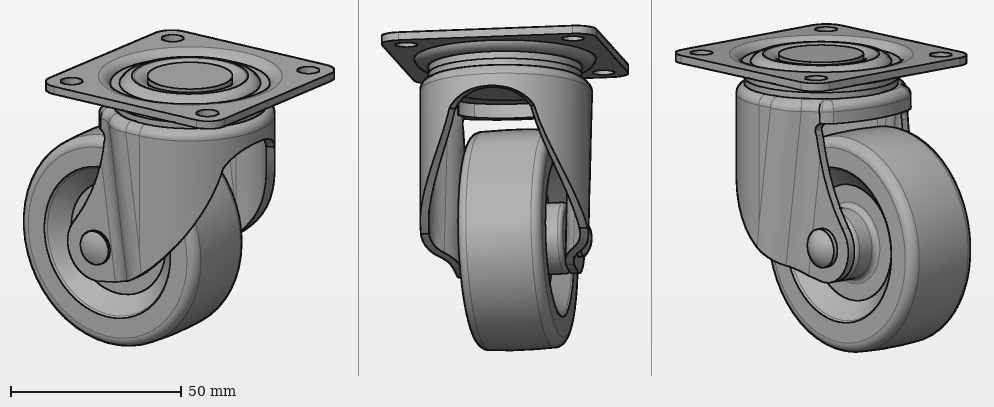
import cadquery as cq
import math

LENGTH = 85.5
HEIGHT = 85.0

PLATE_SIDE = 64.0
PLATE_THICKNESS = 2.4
CORNER_RADIUS = 6.0
BOLT_SPACING = 49.8
BOLT_HOLE_RADIUS = 3.25
DISH_DEPTH = 2.2
DISH_RIM_RADIUS = 27.0
DISH_FLOOR_RADIUS = 23.4
DISH_UNDERSIDE = -4.9
BOWL_RIM_RADIUS = 26.8
BOWL_MIDDLE = (25.6, -4.2)
BOWL_BASE_RADIUS = 23.25
LAND_BASE_RADIUS = 20.8
COLLAR_RADIUS = 22.6
COLLAR_SPLIT = -7.0

PIN_RADIUS = 17.1
PIN_LIP_RADIUS = 16.5
PIN_DISC_RADIUS = 12.5
PIN_GROOVE_DEPTH = 1.9

WHEEL_RADIUS = 32.5
TREAD_EDGE_RADIUS = 32.15
FACE_OUTER_RADIUS = 29.1
TREAD_HALF_WIDTH = 9.75
WHEEL_HALF_WIDTH = 12.5
SHOULDER_MIDDLE = (31.4, 11.5)
RECESS_RADIUS = 23.1
RECESS_CHAMFER = 0.6
RECESS_FLOOR_RADIUS = 17.3
RECESS_DEPTH = 5.4
HUB_RADIUS = 10.5
HUB_HALF_WIDTH = 15.05
HUB_BASE_FILLET = 1.6
HUB_EDGE_FILLET = 1.4
AXLE_X = PLATE_SIDE / 2 - LENGTH + WHEEL_RADIUS
AXLE_Z = WHEEL_RADIUS - HEIGHT

AXLE_RADIUS = 4.0
HEAD_RADIUS = 5.7
HEAD_RIM = 1.45
HEAD_DOME = 2.5
RIVET_RADIUS = 5.1
RIVET_RIM = 0.85
RIVET_DOME = 1.1

SHEET = 2.5
FORK_TOP = -8.9
FORK_RADIUS = 25.0
FORK_TOP_FILLET = 3.0
ARM_HALF_WIDTH = 18.0
BEND_START_X = -21.5
BEND_LEAN = 0.14
BEND_INNER_RADIUS = 9.4
BEND_OUTER_RADIUS = 12.5
LIP_BOTTOM = -15.6
REAR_WALL_START_X = 1.3

NOSE_END = (-21.9, 15.3)
LIP_CORNER_MIDDLE = (-20.2, 17.35)
LIP_CORNER_END = (-17.6, 19.15)

BACK_NOTCH_MIDDLE = (23.0, -18.2)
BACK_NOTCH_END = (21.55, -21.1)
BACK_CURVE_MIDDLE = (10.4, -45.8)
BACK_CURVE_END = (-13.85, -61.9)
ARM_END_RADIUS = 10.4
ARM_END_ANGLES = (285, 210, 138)
FRONT_CURVE_MIDDLE = (-20.1, -28.9)
FRONT_NOTCH_START = (-17.9, -19.15)
FRONT_NOTCH_MIDDLE = (-18.0, -16.5)
FRONT_NOTCH_END_X = -19.5


def tangent_arc_middle(start, end):
    """Middle of the arc that leaves start horizontally and bends down to end; points are (radius, z)."""
    run = abs(end[0] - start[0])
    drop = start[1] - end[1]
    bend_radius = (run ** 2 + drop ** 2) / (2 * drop)
    half_angle = math.asin(run / bend_radius) / 2
    side = math.copysign(1, end[0] - start[0])
    return (start[0] + side * bend_radius * math.sin(half_angle),
            start[1] - bend_radius * (1 - math.cos(half_angle)))


def make_plate():
    rim = (DISH_RIM_RADIUS, 0)
    floor = (DISH_FLOOR_RADIUS, -DISH_DEPTH)
    land_base = (LAND_BASE_RADIUS, -DISH_DEPTH)
    land_top = (PIN_RADIUS, 0)
    square = (
        cq.Workplane("XY")
        .rect(PLATE_SIDE, PLATE_SIDE)
        .extrude(-PLATE_THICKNESS)
        .edges("|Z")
        .fillet(CORNER_RADIUS)
        .cut(cq.Workplane("XY").circle(DISH_RIM_RADIUS).extrude(-PLATE_THICKNESS))
    )
    dish = (
        cq.Workplane("XZ")
        .moveTo(PIN_RADIUS, COLLAR_SPLIT)
        .lineTo(*land_top)
        .threePointArc(tangent_arc_middle(land_top, land_base), land_base)
        .lineTo(*floor)
        .threePointArc(tangent_arc_middle(rim, floor), rim)
        .lineTo(DISH_RIM_RADIUS, -PLATE_THICKNESS)
        .lineTo(BOWL_RIM_RADIUS, -PLATE_THICKNESS)
        .threePointArc(BOWL_MIDDLE, (BOWL_BASE_RADIUS, DISH_UNDERSIDE))
        .lineTo(COLLAR_RADIUS, DISH_UNDERSIDE)
        .lineTo(COLLAR_RADIUS, COLLAR_SPLIT)
        .close()
        .revolve(360, (0, 0, 0), (0, 1, 0))
    )
    bolt_holes = (
        cq.Workplane("XY")
        .rect(BOLT_SPACING, BOLT_SPACING, forConstruction=True)
        .vertices()
        .circle(BOLT_HOLE_RADIUS)
        .extrude(-PLATE_THICKNESS)
    )
    return square.union(dish).cut(bolt_holes)


def make_kingpin():
    lip = (PIN_LIP_RADIUS, 0)
    groove = (PIN_DISC_RADIUS, -PIN_GROOVE_DEPTH)
    return (
        cq.Workplane("XZ")
        .moveTo(0, FORK_TOP - SHEET)
        .lineTo(PIN_RADIUS, FORK_TOP - SHEET)
        .lineTo(PIN_RADIUS, 0)
        .lineTo(*lip)
        .threePointArc(tangent_arc_middle(lip, groove), groove)
        .lineTo(PIN_DISC_RADIUS, 0)
        .lineTo(0, 0)
        .close()
        .revolve(360, (0, 0, 0), (0, 1, 0))
    )


def revolve_on_axle(half_profile):
    """Turn a (radius, y) profile, drawn from the axle centre, about the axle."""
    turned = half_profile.close().revolve(360, (0, 0, 0), (0, 1, 0))
    return turned.translate((AXLE_X, 0, AXLE_Z))


def make_wheel():
    floor_y = WHEEL_HALF_WIDTH - RECESS_DEPTH
    cone_radius = RECESS_RADIUS - RECESS_CHAMFER
    diagonal = math.sqrt(0.5)
    base_y = floor_y + HUB_BASE_FILLET
    base_radius = HUB_RADIUS + HUB_BASE_FILLET
    edge_y = HUB_HALF_WIDTH - HUB_EDGE_FILLET
    edge_radius = HUB_RADIUS - HUB_EDGE_FILLET
    half_section = (
        cq.Workplane("XY")
        .moveTo(AXLE_RADIUS, 0)
        .lineTo(AXLE_RADIUS, HUB_HALF_WIDTH)
        .lineTo(edge_radius, HUB_HALF_WIDTH)
        .threePointArc(
            (edge_radius + HUB_EDGE_FILLET * diagonal, edge_y + HUB_EDGE_FILLET * diagonal),
            (HUB_RADIUS, edge_y),
        )
        .lineTo(HUB_RADIUS, base_y)
        .threePointArc(
            (base_radius - HUB_BASE_FILLET * diagonal, base_y - HUB_BASE_FILLET * diagonal),
            (base_radius, floor_y),
        )
        .lineTo(RECESS_FLOOR_RADIUS, floor_y)
        .lineTo(cone_radius, WHEEL_HALF_WIDTH - RECESS_CHAMFER)
        .lineTo(RECESS_RADIUS, WHEEL_HALF_WIDTH)
        .lineTo(FACE_OUTER_RADIUS, WHEEL_HALF_WIDTH)
        .threePointArc(SHOULDER_MIDDLE, (TREAD_EDGE_RADIUS, TREAD_HALF_WIDTH))
        .lineTo(TREAD_EDGE_RADIUS, 0)
    )
    half_wheel = revolve_on_axle(half_section)
    crown = revolve_on_axle(
        cq.Workplane("XY")
        .moveTo(FACE_OUTER_RADIUS, -TREAD_HALF_WIDTH)
        .lineTo(TREAD_EDGE_RADIUS, -TREAD_HALF_WIDTH)
        .threePointArc((WHEEL_RADIUS, 0), (TREAD_EDGE_RADIUS, TREAD_HALF_WIDTH))
        .lineTo(FACE_OUTER_RADIUS, TREAD_HALF_WIDTH)
    )
    return half_wheel.union(half_wheel.mirror("XZ")).union(crown)


def dome_middle(radius, start_y, height):
    """Point halfway along a spherical dome of the given base radius and height."""
    sphere = (radius ** 2 + height ** 2) / (2 * height)
    half_angle = math.asin(radius / sphere) / 2
    return (sphere * math.sin(half_angle), start_y + height - sphere * (1 - math.cos(half_angle)))


def make_axle():
    head_y = ARM_HALF_WIDTH + HEAD_RIM
    rivet_y = ARM_HALF_WIDTH + RIVET_RIM
    rivet_middle = dome_middle(RIVET_RADIUS, rivet_y, RIVET_DOME)
    return revolve_on_axle(
        cq.Workplane("XY")
        .moveTo(0, head_y + HEAD_DOME)
        .threePointArc(dome_middle(HEAD_RADIUS, head_y, HEAD_DOME), (HEAD_RADIUS, head_y))
        .lineTo(HEAD_RADIUS, ARM_HALF_WIDTH)
        .lineTo(AXLE_RADIUS, ARM_HALF_WIDTH)
        .lineTo(AXLE_RADIUS, -ARM_HALF_WIDTH)
        .lineTo(RIVET_RADIUS, -ARM_HALF_WIDTH)
        .lineTo(RIVET_RADIUS, -rivet_y)
        .threePointArc((rivet_middle[0], -rivet_middle[1]), (0, -rivet_y - RIVET_DOME))
    )


def bent_channel(inset):
    """Both arms with their outward bends, moved inwards by inset, as one leaning block."""
    arm_y = ARM_HALF_WIDTH - inset
    side_y = FORK_RADIUS - inset
    inner_radius = BEND_INNER_RADIUS + inset
    outer_radius = BEND_OUTER_RADIUS - inset
    bend_angle = math.acos(1 - (side_y - arm_y) / (inner_radius + outer_radius))
    end_x = BEND_START_X + (inner_radius + outer_radius) * math.sin(bend_angle)

    def on_inner_arc(angle):
        return (BEND_START_X + inner_radius * math.sin(angle), arm_y + inner_radius * (1 - math.cos(angle)))

    def on_outer_arc(angle):
        return (end_x - outer_radius * math.sin(angle), side_y - outer_radius * (1 - math.cos(angle)))

    half_outline = (
        cq.Workplane("XY")
        .moveTo(-LENGTH, 0)
        .lineTo(-LENGTH, arm_y)
        .lineTo(BEND_START_X, arm_y)
        .threePointArc(on_inner_arc(bend_angle / 2), on_inner_arc(bend_angle))
        .threePointArc(on_outer_arc(bend_angle / 2), (end_x, side_y))
        .lineTo(LENGTH, side_y)
        .lineTo(LENGTH, 0)
        .close()
        .wire()
        .val()
    )
    lean = cq.Vector(BEND_LEAN * HEIGHT, 0, -HEIGHT)
    half = cq.Workplane(cq.Solid.extrudeLinear(half_outline, [], lean)).translate((0, 0, FORK_TOP))
    return half.union(half.mirror("XZ"))


def upright_block(inset):
    """Front lip, sides and half-round back in plan, moved inwards by inset."""
    side_y = FORK_RADIUS - inset

    def inwards(point, side):
        return (point[0] + inset, side * (point[1] - inset))

    return (
        cq.Workplane("XY", origin=(0, 0, FORK_TOP - inset))
        .moveTo(*inwards(NOSE_END, -1))
        .threePointArc((inset - FORK_RADIUS, 0), inwards(NOSE_END, 1))
        .threePointArc(inwards(LIP_CORNER_MIDDLE, 1), inwards(LIP_CORNER_END, 1))
        .lineTo(LIP_CORNER_END[0] + inset, side_y)
        .lineTo(0, side_y)
        .threePointArc((side_y, 0), (0, -side_y))
        .lineTo(LIP_CORNER_END[0] + inset, -side_y)
        .lineTo(*inwards(LIP_CORNER_END, -1))
        .threePointArc(inwards(LIP_CORNER_MIDDLE, -1), inwards(NOSE_END, -1))
        .close()
        .extrude(-HEIGHT)
    )


def fork_envelope(inset):
    """Solid inside the fork's walls: its outside for no inset, its cavity for an inset of the sheet."""
    arm_space = (
        cq.Workplane("XY")
        .box(LENGTH, 2 * FORK_RADIUS, HEIGHT, centered=(False, True, False))
        .translate((-LENGTH, 0, LIP_BOTTOM - HEIGHT))
    )
    return bent_channel(inset).intersect(upright_block(inset).union(arm_space))


def fork_side():
    """Side outline of the fork, extruded across its whole width."""
    arm_end = []
    for angle in ARM_END_ANGLES:
        turn = math.radians(angle)
        arm_end.append((AXLE_X + ARM_END_RADIUS * math.cos(turn), AXLE_Z + ARM_END_RADIUS * math.sin(turn)))
    return (
        cq.Workplane("XZ")
        .moveTo(-FORK_RADIUS, FORK_TOP)
        .lineTo(FORK_RADIUS, FORK_TOP)
        .lineTo(FORK_RADIUS, LIP_BOTTOM)
        .threePointArc(BACK_NOTCH_MIDDLE, BACK_NOTCH_END)
        .threePointArc(BACK_CURVE_MIDDLE, BACK_CURVE_END)
        .lineTo(*arm_end[0])
        .threePointArc(arm_end[1], arm_end[2])
        .threePointArc(FRONT_CURVE_MIDDLE, FRONT_NOTCH_START)
        .threePointArc(FRONT_NOTCH_MIDDLE, (FRONT_NOTCH_END_X, LIP_BOTTOM))
        .lineTo(-FORK_RADIUS, LIP_BOTTOM)
        .close()
        .extrude(LENGTH, both=True)
    )


def rear_space():
    """Block holding everything of the fork behind the swivel axis and below its rounded top edge."""
    return (
        cq.Workplane("XY")
        .box(LENGTH, LENGTH, HEIGHT, centered=(False, True, False))
        .translate((REAR_WALL_START_X, 0, FORK_TOP - FORK_TOP_FILLET - HEIGHT))
    )


def rear_wall():
    """Half-round sheet behind the wheel, its lower edge square to the sheet all the way round."""
    tube = cq.Workplane("XY").circle(FORK_RADIUS).extrude(-HEIGHT).faces("%CYLINDER").val()
    sheet = tube.intersect(fork_side().intersect(rear_space()).val())
    return cq.Workplane("XY").newObject([face.thicken(-SHEET) for face in sheet.Faces()]).combine()


def make_fork():
    outside = fork_envelope(0).intersect(fork_side())
    outside = outside.faces(">Z").edges().fillet(FORK_TOP_FILLET)
    folded_sheet = outside.cut(fork_envelope(SHEET)).cut(rear_space()).union(rear_wall())
    collar = (
        cq.Workplane("XY", origin=(0, 0, FORK_TOP))
        .circle(COLLAR_RADIUS)
        .extrude(COLLAR_SPLIT - FORK_TOP)
    )
    pin_hole = cq.Workplane("XY").circle(PIN_RADIUS).extrude(FORK_TOP - SHEET)
    axle_hole = (
        cq.Workplane("XZ", origin=(AXLE_X, 0, AXLE_Z))
        .circle(AXLE_RADIUS)
        .extrude(LENGTH, both=True)
    )
    return folded_sheet.union(collar).cut(pin_hole).cut(axle_hole)


plate = make_plate()
kingpin = make_kingpin()
wheel = make_wheel()
axle = make_axle()
fork = make_fork()

bodies = [plate, kingpin, fork, wheel, axle]
result = cq.Compound.makeCompound([body.solids().val() for body in bodies])